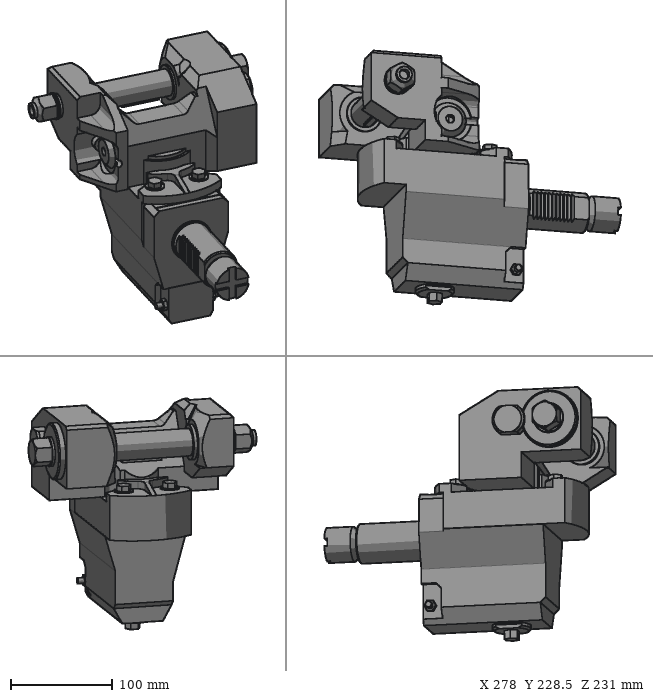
import cadquery as cq
import math


FLOOR_Z = 39.0
PAD_Z = 47.8
HUB_Z = 55.5
FLANGE_RADIUS = 76.2
FLANGE_HALF_WIDTH = 42.0
FLANGE_BOTTOM = 2.5
BODY_LEFT = -41.1
BODY_RIGHT = 84.2
WAIST_HALF_WIDTH = 29.7
FOOT_HALF_WIDTH = 20.8
FOOT_TOP = -74.0
BODY_BOTTOM = -89.8
TAPER_TOP_BACK = 7.2
TAPER_END_BACK = -34.5
TAPER_TOP_FRONT = -4.5
TAPER_END_FRONT = -49.2
CORNER_CUT = 5.3
END_BLOCK_START = 59.8
END_BLOCK_RIGHT = 84.8
END_BLOCK_HALF_WIDTH = 40.0
END_BLOCK_CHAMFER = 5.3
END_LIP_START = 77.3
END_LIP_HEIGHT = 0.5

PAD_INNER = (39.8, 25.3)
PAD_OUTER_X = 51.5
RING_INNER = 37.0
RING_OUTER = 44.5
RING_HALF_WIDTH = 25.5
FOOT_CLEARANCE_X = 34.0
RIB_HALF_WIDTH = 2.5
RIB_SLOPE_START = 49.8
RIB_FILLET = 8.3
PAD_BOLT_X = 49.8
PAD_BOLT_Y = 23.5
PAD_BOLT_HEAD = 14.5
PAD_BOLT_HEIGHT = 6.5
PAD_WASHER_RADIUS = 9.5
PAD_WASHER_THICKNESS = 0.8

RECESS_LEFT = 64.5
RECESS_BOTTOM = -84.0
RECESS_HALF_SPAN = 24.0
RECESS_CHAMFER = 5.5
NIPPLE_X = 76.5
NIPPLE_Z = -71.2
NIPPLE_RADIUS = 3.0
NIPPLE_REACH = 34.2
NIPPLE_HEX = 11.7
NIPPLE_HEX_REACH = 27.8

CAP_RADIUS = 19.2
CAP_BOTTOM = -95.0
CAP_STEP_Z = -91.2
CAP_HALF_WIDTH = 14.0
CAP_CHAMFER = 2.2
STUD_CORNERS = 15.0
PART_BOTTOM = -103.7

SHANK_RADIUS = 19.7
SHANK_END = 153.7
SHANK_CHAMFER = 1.5
COLLAR_RADIUS = 20.8
COLLAR_END = 87.3
FLAT_DEPTH_Y = 16.0
FLAT_START = 92.3
TOOTH_COUNT = 11
TOOTH_PITCH = 4.0
TOOTH_START = 95.5
TOOTH_DEPTH = 2.5
DRIVE_NECK = 12.5
DRIVE_RADIUS = 17.5
DRIVE_CONE_END = 159.5
DRIVE_END = 186.0
SLOT_DEPTH = 3.0
SLOT_WIDTH = 7.8

HEAD_TOP = 127.3
TOP_CHAMFER = 3.3
CREST_X = -8.3
ROOF_END_Z = 104.8
FOOT_LEFT = -31.7
ARBOR_X = -61.2
ARBOR_Z = 96.0

BACK_LEFT, BACK_RIGHT = -92.0, 31.0
BACK_INNER, BACK_OUTER = 41.1, 94.5
BACK_BOTTOM = 64.5
BACK_INNER_CHAMFER = 9.0
BACK_CONE_RADIUS = 24.5
BACK_CONE_LOW_Z = 77.8
CORNER_REACH = 12.0
CORNER_DEPTH = 12.2
BACK_FLUTE_RADIUS = 11.5

FRONT_LEFT, FRONT_RIGHT = -87.0, 29.7
FRONT_INNER, FRONT_OUTER = -44.0, -78.7
FRONT_BOTTOM = 59.2
FRONT_SLANT = (-59.8, 75.0)
FRONT_INNER_CHAMFER = 6.5
FRONT_CONE_RADIUS = 22.2
FRONT_FLUTE_RADIUS = 9.7

CONE_SLOPE = 1.57
CONE_DEPTH = 27.8
FLUTE_X = -37.8
FLUTE_DEPTH = 14.0
FLUTE_TIP_RADIUS = 2.2

BRIDGE_Z = 101.2
BRIDGE_SHOULDER_Z = 114.0
BRIDGE_TOP_LEFT = -9.5
BRIDGE_TOP_RIGHT = 15.8
BRIDGE_RIGHT = 26.0
FACE_SLOPE = 1.65
REAR_SLOPE = 1.6
SADDLE_BACK = 25.5
SADDLE_FRONT = -28.5
SADDLE_FILLET = 7.8
RELIEF_Y = 30.0
RELIEF_RADIUS = 10.0
REAR_CUT_BACK = 52.0
REAR_WALL_BACK = 41.7

TABLE_RADIUS = 36.0
TABLE_TOP = 65.5
SPIGOT_RADIUS = 33.0
SPIGOT_TOP = 69.2

POCKET_LEFT = -15.0
POCKET_WALL_Y = -54.0
POCKET_FILLET = 10.0
UPPER_LEDGE_Z = 104.2
POCKET_BOTTOM, POCKET_TOP = 44.2, 93.7
BEVEL_END_Y = -56.5
SCREW_Z = 69.2
SEAT_RADIUS = 22.5
SEAT_Y = -51.7
SCREW_RADIUS = 17.5
SCREW_FACE_RADIUS = 12.5
SCREW_FACE_Y = -56.7
SCREW_SOCKET_RADIUS = 4.2
SCREW_SOCKET_DEPTH = 4.2
STUB_RADIUS = 7.8
GROOVE_RADIUS = 4.0

ARBOR_RADIUS = 13.5
KEY_WIDTH = 6.7
KEY_FRONT, KEY_BACK = -11.0, 29.0
KEY_BOTTOM = 80.3
THRUST_RADIUS = 17.5
THRUST_THICKNESS_BACK = 2.2
THRUST_THICKNESS_FRONT = 3.5
NUT_CORNERS = 28.4
NUT_CHAMFER_RADIUS = 12.2
NUT_CHAMFER = 2.0
BACK_DISC_RADIUS = 28.0
BACK_DISC_END = 101.5
BACK_DISC_CHAMFER = 1.5
BACK_WASHER_RADIUS = 14.7
FRONT_WASHER_RADIUS = 13.3
BACK_WASHER_END = 104.0
BACK_NUT_END = 121.2
SPACER_RADIUS = 12.2
SPACER_END = -81.7
FRONT_WASHER_END = -83.7
FRONT_NUT_START = -84.8
FRONT_NUT_END = -101.2
TIP_CONE_END = -104.0
TIP_RADIUS = 7.8
TIP_END = -107.3
TIP_SOCKET_RADIUS = 5.0
TIP_SOCKET_DEPTH = 5.5
CLAMP_X = -20.8
CLAMP_RADIUS = 16.0
CLAMP_HALF_HEIGHT = 13.3
CLAMP_END = 107.3
CLAMP_CHAMFER = 2.2

FAR = 166.8
HEX_TURN = 30


def block(x0, x1, y0, y1, z0, z1):
    """Box between two corners."""
    return cq.Workplane().box(x1 - x0, y1 - y0, z1 - z0, centered=False).translate((x0, y0, z0))


def prism_y(points, y0, y1):
    """Outline in XZ, filled from y0 to y1 (y0 < y1)."""
    return cq.Workplane("XZ", origin=(0, y1, 0)).polyline(points).close().extrude(y1 - y0)


def prism_x(points, x0, x1):
    """Outline in YZ, filled from x0 to x1."""
    return cq.Workplane("YZ", origin=(x0, 0, 0)).polyline(points).close().extrude(x1 - x0)


def cone_solid(start, direction, r0, r1, length):
    """Cone or cylinder along a direction, as a workplane."""
    point = cq.Vector(*start)
    axis = cq.Vector(*direction)
    if r0 == r1:
        return cq.Workplane(cq.Solid.makeCylinder(r0, length, point, axis))
    return cq.Workplane(cq.Solid.makeCone(r0, r1, length, point, axis))


def round_y(x, z, y0, y1, r0, r1=None):
    """Round stretch parallel to Y from y0 to y1, tapering from r0 to r1 if given."""
    direction = (0, math.copysign(1, y1 - y0), 0)
    return cone_solid((x, y0, z), direction, r0, r0 if r1 is None else r1, abs(y1 - y0))


def housing_body():
    """Round flange with flat sides over a tapered gearbox."""
    height = FLOOR_Z - FLANGE_BOTTOM
    flange = cq.Workplane("XY", origin=(0, 0, FLANGE_BOTTOM)).circle(FLANGE_RADIUS).extrude(height)
    flange = flange.intersect(block(-FAR, END_BLOCK_START, -FLANGE_HALF_WIDTH, FLANGE_HALF_WIDTH, -FAR, FAR))
    section = [
        (FLANGE_HALF_WIDTH, FLOOR_Z),
        (FLANGE_HALF_WIDTH, TAPER_TOP_BACK),
        (WAIST_HALF_WIDTH, TAPER_END_BACK),
        (WAIST_HALF_WIDTH, FOOT_TOP),
        (FOOT_HALF_WIDTH, BODY_BOTTOM),
        (-FOOT_HALF_WIDTH, BODY_BOTTOM),
        (-WAIST_HALF_WIDTH, FOOT_TOP),
        (-WAIST_HALF_WIDTH, TAPER_END_FRONT),
        (-FLANGE_HALF_WIDTH, TAPER_TOP_FRONT),
        (-FLANGE_HALF_WIDTH, FLOOR_Z),
    ]
    side = [
        (BODY_LEFT, FLOOR_Z),
        (BODY_LEFT, FOOT_TOP + CORNER_CUT),
        (BODY_LEFT + CORNER_CUT, FOOT_TOP),
        (BODY_LEFT + CORNER_CUT, BODY_BOTTOM),
        (BODY_RIGHT, BODY_BOTTOM),
        (BODY_RIGHT, TAPER_END_FRONT),
        (END_BLOCK_RIGHT, TAPER_END_FRONT),
        (END_BLOCK_RIGHT, FLOOR_Z),
    ]
    body = prism_x(section, BODY_LEFT, END_BLOCK_RIGHT)
    body = body.intersect(prism_y(side, -FLANGE_HALF_WIDTH, FLANGE_HALF_WIDTH))
    for sign in (1, -1):
        y0, y1 = sorted((sign * END_BLOCK_HALF_WIDTH, sign * FAR))
        body = body.cut(block(END_BLOCK_START, FAR, y0, y1, -FAR, FAR))
        top_edge = [
            (sign * END_BLOCK_HALF_WIDTH, FLOOR_Z - END_BLOCK_CHAMFER),
            (sign * END_BLOCK_HALF_WIDTH, FLOOR_Z),
            (sign * (END_BLOCK_HALF_WIDTH - END_BLOCK_CHAMFER), FLOOR_Z),
        ]
        body = body.cut(prism_x(top_edge, END_BLOCK_START, END_BLOCK_RIGHT))
    lip_half = END_BLOCK_HALF_WIDTH - END_BLOCK_CHAMFER
    lip = block(END_LIP_START, END_BLOCK_RIGHT, -lip_half, lip_half, 0, FLOOR_Z + END_LIP_HEIGHT)
    return flange.union(body).union(lip)


def flange_pads():
    """Raised bolt pads, guide ring and ribs at both ends of the flange."""
    inner_x, inner_y = PAD_INNER
    outline = [
        (inner_x, inner_y),
        (PAD_OUTER_X, FLANGE_HALF_WIDTH),
        (FLANGE_RADIUS, FLANGE_HALF_WIDTH),
        (FLANGE_RADIUS, -FLANGE_HALF_WIDTH),
        (PAD_OUTER_X, -FLANGE_HALF_WIDTH),
        (inner_x, -inner_y),
    ]
    disc = cq.Workplane("XY").circle(FLANGE_RADIUS).extrude(HUB_Z)
    pad = cq.Workplane("XY", origin=(0, 0, FLOOR_Z)).polyline(outline).close().extrude(PAD_Z - FLOOR_Z)
    ring = cq.Workplane("XY", origin=(0, 0, FLOOR_Z)).circle(RING_OUTER).extrude(HUB_Z - FLOOR_Z)
    ring = ring.intersect(block(FOOT_CLEARANCE_X, FAR, -RING_HALF_WIDTH, RING_HALF_WIDTH, 0, FAR))
    root_x = math.sqrt(RING_OUTER**2 - (RIB_HALF_WIDTH + RIB_FILLET) ** 2)
    rib = (
        cq.Workplane("XY", origin=(0, 0, FLOOR_Z))
        .moveTo(root_x, RIB_HALF_WIDTH + RIB_FILLET)
        .radiusArc((root_x + RIB_FILLET, RIB_HALF_WIDTH), -RIB_FILLET)
        .lineTo(FLANGE_RADIUS, RIB_HALF_WIDTH)
        .lineTo(FLANGE_RADIUS, -RIB_HALF_WIDTH)
        .lineTo(root_x + RIB_FILLET, -RIB_HALF_WIDTH)
        .radiusArc((root_x, -RIB_HALF_WIDTH - RIB_FILLET), -RIB_FILLET)
        .close()
        .extrude(HUB_Z - FLOOR_Z)
    )
    slope = [(RIB_SLOPE_START, HUB_Z), (FLANGE_RADIUS, PAD_Z), (FLANGE_RADIUS, HUB_Z)]
    rib = rib.cut(prism_y(slope, -FLANGE_HALF_WIDTH, FLANGE_HALF_WIDTH))
    bore = cq.Workplane("XY").circle(RING_INNER).extrude(HUB_Z)
    right = pad.union(ring).union(rib).intersect(disc).cut(bore)
    for y in (-PAD_BOLT_Y, PAD_BOLT_Y):
        washer = cone_solid(
            (PAD_BOLT_X, y, PAD_Z), (0, 0, 1), PAD_WASHER_RADIUS, PAD_WASHER_RADIUS, PAD_WASHER_THICKNESS
        )
        head = (
            cq.Workplane("XY", origin=(PAD_BOLT_X, y, PAD_Z))
            .transformed(rotate=(0, 0, HEX_TURN))
            .polygon(6, PAD_BOLT_HEAD)
            .extrude(PAD_BOLT_HEIGHT)
        )
        right = right.union(washer).union(head)
    return right.union(right.mirror("YZ"))


def nipple_recesses(body):
    """Flat recesses near the lower right corner, each with a hexagonal grease nipple."""
    outline = [
        (RECESS_LEFT, RECESS_BOTTOM),
        (BODY_RIGHT, RECESS_BOTTOM),
        (BODY_RIGHT, TAPER_END_FRONT),
        (RECESS_LEFT + RECESS_CHAMFER, TAPER_END_FRONT),
        (RECESS_LEFT, TAPER_END_FRONT - RECESS_CHAMFER),
    ]
    hexagon = cq.Workplane("XZ", origin=(NIPPLE_X, NIPPLE_HEX_REACH, NIPPLE_Z)).polygon(6, NIPPLE_HEX)
    hexagon = hexagon.extrude(2 * NIPPLE_HEX_REACH)
    for sign in (1, -1):
        y0, y1 = sorted((sign * RECESS_HALF_SPAN, sign * WAIST_HALF_WIDTH))
        body = body.cut(prism_y(outline, y0, y1))
    body = body.union(hexagon)
    for sign in (1, -1):
        body = body.union(round_y(NIPPLE_X, NIPPLE_Z, 0, sign * NIPPLE_REACH, NIPPLE_RADIUS))
    return body


def bottom_cap():
    """Flanged cap with two flats and a hexagonal stud under the swivel axis."""
    cap = cq.Workplane("XY", origin=(0, 0, CAP_BOTTOM)).circle(CAP_RADIUS).extrude(BODY_BOTTOM - CAP_BOTTOM)
    cap = cap.faces("<Z").chamfer(CAP_CHAMFER)
    for sign in (1, -1):
        y0, y1 = sorted((sign * CAP_HALF_WIDTH, sign * FAR))
        cap = cap.cut(block(-FAR, FAR, y0, y1, -FAR, CAP_STEP_Z))
    stud = (
        cq.Workplane("XY", origin=(0, 0, PART_BOTTOM))
        .transformed(rotate=(0, 0, HEX_TURN))
        .polygon(6, STUD_CORNERS)
        .extrude(BODY_BOTTOM - PART_BOTTOM)
    )
    return cap.union(stud)


def shank():
    """Toothed shank with a cross-slotted drive end."""
    profile = [
        (END_BLOCK_RIGHT, 0),
        (END_BLOCK_RIGHT, COLLAR_RADIUS),
        (COLLAR_END, COLLAR_RADIUS),
        (COLLAR_END, SHANK_RADIUS),
        (SHANK_END - SHANK_CHAMFER, SHANK_RADIUS),
        (SHANK_END, SHANK_RADIUS - SHANK_CHAMFER),
        (SHANK_END, DRIVE_NECK),
        (DRIVE_CONE_END, DRIVE_RADIUS),
        (DRIVE_END, DRIVE_RADIUS),
        (DRIVE_END, 0),
    ]
    turned = cq.Workplane("XY").polyline(profile).close().revolve(360, (0, 0, 0), (1, 0, 0))
    turned = turned.cut(block(FLAT_START, SHANK_END, -FAR, -FLAT_DEPTH_Y, -SHANK_RADIUS, SHANK_RADIUS))
    for i in range(TOOTH_COUNT):
        x = TOOTH_START + i * TOOTH_PITCH
        gap = (
            cq.Workplane("XY", origin=(0, 0, -SHANK_RADIUS))
            .moveTo(x, -FLAT_DEPTH_Y)
            .lineTo(x + TOOTH_PITCH, -FLAT_DEPTH_Y)
            .lineTo(x + TOOTH_PITCH / 2, -FLAT_DEPTH_Y + TOOTH_DEPTH)
            .close()
            .extrude(2 * SHANK_RADIUS)
        )
        turned = turned.cut(gap)
    half = SLOT_WIDTH / 2
    turned = turned.cut(block(DRIVE_END - SLOT_DEPTH, FAR * 2, -FAR, FAR, -half, half))
    return turned.cut(block(DRIVE_END - SLOT_DEPTH, FAR * 2, -half, half, -FAR, FAR))


def make_housing():
    body = nipple_recesses(housing_body())
    return body.union(flange_pads()).union(bottom_cap()).union(shank())


def relieve_inner_side(arm, inner_y, outward, chamfer, cone_radius, cone_low_z, flute_radius):
    """Top chamfer, arbor-centred cone and small flute on an arm's inner side."""
    edge = [
        (inner_y, HEAD_TOP - chamfer),
        (inner_y, HEAD_TOP),
        (inner_y + outward * chamfer, HEAD_TOP),
    ]
    arm = arm.cut(prism_x(edge, -FAR, FAR))
    end_y = inner_y + outward * CONE_DEPTH
    end_radius = cone_radius + CONE_SLOPE * CONE_DEPTH
    shell = round_y(ARBOR_X, ARBOR_Z, inner_y, end_y, FAR)
    shell = shell.cut(round_y(ARBOR_X, ARBOR_Z, inner_y, end_y, cone_radius, end_radius))
    window = block(-FAR, FLUTE_X, -FAR, FAR, ARBOR_Z, FAR)
    window = window.union(block(-FAR, ARBOR_X, -FAR, FAR, cone_low_z, ARBOR_Z))
    arm = arm.cut(shell.intersect(window))
    flute_start = (FLUTE_X, inner_y, HEAD_TOP - FLUTE_DEPTH)
    return arm.cut(cone_solid(flute_start, (0, 0, 1), FLUTE_TIP_RADIUS, flute_radius, FLUTE_DEPTH))


def back_arm():
    outline = [
        (BACK_LEFT, BACK_BOTTOM),
        (BACK_LEFT, HEAD_TOP - TOP_CHAMFER),
        (BACK_LEFT + TOP_CHAMFER, HEAD_TOP),
        (CREST_X, HEAD_TOP),
        (BACK_RIGHT, ROOF_END_Z),
        (BACK_RIGHT, FLOOR_Z),
        (FOOT_LEFT, FLOOR_Z),
        (FOOT_LEFT, BACK_BOTTOM),
    ]
    arm = prism_y(outline, BACK_INNER, BACK_OUTER)
    arm = relieve_inner_side(
        arm, BACK_INNER, 1, BACK_INNER_CHAMFER, BACK_CONE_RADIUS, BACK_CONE_LOW_Z, BACK_FLUTE_RADIUS
    )
    drop = ARBOR_Z - BACK_CONE_LOW_Z
    top_reach = ARBOR_X - math.sqrt(BACK_CONE_RADIUS**2 - drop**2) - BACK_LEFT
    top_depth = (math.hypot(ARBOR_X - BACK_LEFT, drop) - BACK_CONE_RADIUS) / CONE_SLOPE
    corner = (
        cq.Workplane("XY", origin=(BACK_LEFT, BACK_INNER, BACK_BOTTOM))
        .polyline([(0, 0), (CORNER_REACH, 0), (0, CORNER_DEPTH)])
        .close()
        .workplane(offset=BACK_CONE_LOW_Z - BACK_BOTTOM)
        .polyline([(0, 0), (top_reach, 0), (0, top_depth)])
        .close()
        .loft(ruled=True)
    )
    return arm.cut(corner)


def front_arm():
    slant_x, slant_z = FRONT_SLANT
    outline = [
        (FRONT_LEFT, slant_z),
        (FRONT_LEFT, HEAD_TOP - TOP_CHAMFER),
        (FRONT_LEFT + TOP_CHAMFER, HEAD_TOP),
        (CREST_X, HEAD_TOP),
        (FRONT_RIGHT, ROOF_END_Z),
        (FRONT_RIGHT, FLOOR_Z),
        (FOOT_LEFT, FLOOR_Z),
        (FOOT_LEFT, FRONT_BOTTOM),
        (slant_x, FRONT_BOTTOM),
    ]
    arm = prism_y(outline, FRONT_OUTER, FRONT_INNER)
    arm = relieve_inner_side(
        arm, FRONT_INNER, -1, FRONT_INNER_CHAMFER, FRONT_CONE_RADIUS, slant_z, FRONT_FLUTE_RADIUS
    )
    outer_edge = [
        (FRONT_OUTER, HEAD_TOP - TOP_CHAMFER),
        (FRONT_OUTER, HEAD_TOP),
        (FRONT_OUTER + TOP_CHAMFER, HEAD_TOP),
    ]
    arm = arm.cut(prism_x(outer_edge, -FAR, FAR))
    bevel = (
        cq.Workplane("XY")
        .polyline([(CREST_X, FRONT_OUTER), (FRONT_RIGHT, BEVEL_END_Y), (FRONT_RIGHT, FRONT_OUTER)])
        .close()
        .extrude(FAR)
    )
    arm = arm.cut(bevel)
    upper = block(POCKET_LEFT, FAR, -FAR, POCKET_WALL_Y, UPPER_LEDGE_Z, FAR)
    upper = upper.edges("|X and >Y and <Z").fillet(POCKET_FILLET)
    lower = block(POCKET_LEFT, FAR, -FAR, POCKET_WALL_Y, POCKET_BOTTOM, POCKET_TOP)
    lower = lower.edges("|X and >Y").fillet(POCKET_FILLET)
    return arm.cut(upper).cut(lower)


def bridge():
    """Saddle that joins the arms over the turntable."""
    rise = BRIDGE_SHOULDER_Z - BRIDGE_Z
    face_foot_z = BRIDGE_Z - FACE_SLOPE * (BRIDGE_TOP_LEFT - FOOT_LEFT)
    rear_foot_z = BRIDGE_Z - REAR_SLOPE * (BRIDGE_RIGHT - BRIDGE_TOP_RIGHT)
    outline = [
        (FOOT_LEFT, FLOOR_Z),
        (FOOT_LEFT, face_foot_z),
        (BRIDGE_TOP_LEFT + rise / FACE_SLOPE, BRIDGE_SHOULDER_Z),
        (BRIDGE_TOP_RIGHT - rise / REAR_SLOPE, BRIDGE_SHOULDER_Z),
        (BRIDGE_RIGHT, rear_foot_z),
        (BRIDGE_RIGHT, FLOOR_Z),
    ]
    saddle = [
        (SADDLE_FRONT, BRIDGE_Z),
        (SADDLE_BACK, BRIDGE_Z),
        (SADDLE_BACK + 2 * rise, BRIDGE_Z + 2 * rise),
        (SADDLE_FRONT - 2 * rise, BRIDGE_Z + 2 * rise),
    ]
    trough = prism_x(saddle, -FAR, FAR).edges("|X and <Z").fillet(SADDLE_FILLET)
    relief = cq.Workplane("XY").center(FLUTE_X, RELIEF_Y).circle(RELIEF_RADIUS).extrude(HEAD_TOP)
    return prism_y(outline, FRONT_INNER, BACK_INNER).cut(trough).cut(relief)


def turntable():
    """Round foot on the flange, cut along the slope of the bridge's face."""
    table = cone_solid((0, 0, FLOOR_Z), (0, 0, 1), TABLE_RADIUS, TABLE_RADIUS, TABLE_TOP - FLOOR_Z)
    table = table.union(
        cone_solid((0, 0, FLOOR_Z), (0, 0, 1), SPIGOT_RADIUS, SPIGOT_RADIUS, SPIGOT_TOP - FLOOR_Z)
    )
    low_x = BRIDGE_TOP_LEFT - (BRIDGE_Z - FLOOR_Z) / FACE_SLOPE
    slope = [(low_x, FLOOR_Z), (BRIDGE_TOP_LEFT, BRIDGE_Z), (-FAR, BRIDGE_Z), (-FAR, FLOOR_Z)]
    return table.cut(prism_y(slope, -TABLE_RADIUS, TABLE_RADIUS))


def cut_rear(head):
    """Carry the bridge's rear slope and wall into the back arm."""
    high_x = BRIDGE_TOP_RIGHT - (HEAD_TOP - BRIDGE_Z) / REAR_SLOPE
    low_z = BRIDGE_Z - REAR_SLOPE * (BACK_RIGHT - BRIDGE_TOP_RIGHT)
    slope = [(high_x, HEAD_TOP), (BACK_RIGHT, low_z), (BACK_RIGHT, HEAD_TOP)]
    head = head.cut(prism_y(slope, FRONT_INNER, REAR_CUT_BACK))
    wall = [
        (BRIDGE_RIGHT, 0),
        (BRIDGE_RIGHT, REAR_WALL_BACK),
        (BACK_RIGHT, REAR_CUT_BACK),
        (BACK_RIGHT, 0),
    ]
    return head.cut(cq.Workplane("XY").polyline(wall).close().extrude(HEAD_TOP))


def add_pocket_screw(head):
    """Seat, cap screw, stub and wall groove in the front arm's lower pocket."""
    head = head.cut(round_y(0, SCREW_Z, SEAT_Y, -FAR, SEAT_RADIUS))
    groove = cone_solid((0, POCKET_WALL_Y, SCREW_Z), (1, 0, 0), GROOVE_RADIUS, GROOVE_RADIUS, FRONT_RIGHT)
    head = head.cut(groove)
    screw = round_y(0, SCREW_Z, SEAT_Y, SCREW_FACE_Y, SCREW_RADIUS, SCREW_FACE_RADIUS)
    socket_y = SCREW_FACE_Y + SCREW_SOCKET_DEPTH
    screw = screw.cut(round_y(0, SCREW_Z, socket_y, SCREW_FACE_Y, SCREW_SOCKET_RADIUS))
    stub_length = SEAT_RADIUS + POCKET_LEFT
    stub = cone_solid((-SEAT_RADIUS, SEAT_Y, SCREW_Z), (1, 0, 0), STUB_RADIUS, STUB_RADIUS, stub_length)
    return head.union(screw).union(stub)


def hex_nut(y_seat, y_end):
    """Hexagon nut on the arbor axis, its outer corners turned down."""
    length = abs(y_end - y_seat)
    nut = (
        cq.Workplane("XZ", origin=(ARBOR_X, max(y_seat, y_end), ARBOR_Z))
        .transformed(rotate=(0, 0, HEX_TURN))
        .polygon(6, NUT_CORNERS)
        .extrude(length)
    )
    shoulder = y_end - math.copysign(NUT_CHAMFER, y_end)
    envelope = round_y(ARBOR_X, ARBOR_Z, y_seat, shoulder, NUT_CORNERS / 2)
    tip = round_y(ARBOR_X, ARBOR_Z, shoulder, y_end, NUT_CORNERS / 2, NUT_CHAMFER_RADIUS)
    return nut.intersect(envelope.union(tip))


def arbor():
    """Arbor with thrust collars, end disc, washers and nuts."""
    def stretch(y0, y1, r0, r1=None):
        return round_y(ARBOR_X, ARBOR_Z, y0, y1, r0, r1)

    disc = stretch(BACK_OUTER, BACK_DISC_END, BACK_DISC_RADIUS).faces(">Y").chamfer(BACK_DISC_CHAMFER)
    half = KEY_WIDTH / 2
    key = block(ARBOR_X - half, ARBOR_X + half, KEY_FRONT, KEY_BACK, KEY_BOTTOM, ARBOR_Z)
    socket = stretch(TIP_END + TIP_SOCKET_DEPTH, TIP_END, TIP_SOCKET_RADIUS)
    return (
        stretch(FRONT_OUTER, BACK_OUTER, ARBOR_RADIUS)
        .union(stretch(BACK_INNER - THRUST_THICKNESS_BACK, BACK_INNER, THRUST_RADIUS))
        .union(stretch(FRONT_INNER, FRONT_INNER + THRUST_THICKNESS_FRONT, THRUST_RADIUS))
        .union(disc)
        .union(stretch(BACK_DISC_END, BACK_WASHER_END, BACK_WASHER_RADIUS))
        .union(hex_nut(BACK_WASHER_END, BACK_NUT_END))
        .union(key)
        .union(stretch(FRONT_OUTER, FRONT_NUT_START, SPACER_RADIUS))
        .union(stretch(SPACER_END, FRONT_WASHER_END, FRONT_WASHER_RADIUS))
        .union(hex_nut(FRONT_NUT_START, FRONT_NUT_END))
        .union(stretch(FRONT_NUT_END, TIP_CONE_END, NUT_CHAMFER_RADIUS, TIP_RADIUS))
        .union(stretch(TIP_CONE_END, TIP_END, TIP_RADIUS))
        .cut(socket)
    )


def clamp_cap():
    """Clamp screw cap beside the end disc, flattened above and below."""
    cap = round_y(CLAMP_X, ARBOR_Z, BACK_OUTER, CLAMP_END, CLAMP_RADIUS).faces(">Y").chamfer(CLAMP_CHAMFER)
    low, high = ARBOR_Z - CLAMP_HALF_HEIGHT, ARBOR_Z + CLAMP_HALF_HEIGHT
    return cap.intersect(block(-FAR, FAR, 0, FAR, low, high))


def make_swivel_head():
    head = back_arm().union(bridge())
    head = cut_rear(head).union(front_arm()).union(turntable())
    return add_pocket_screw(head).union(arbor()).union(clamp_cap())


housing = make_housing()
swivel_head = make_swivel_head()
result = cq.Compound.makeCompound([housing.val(), swivel_head.val()])